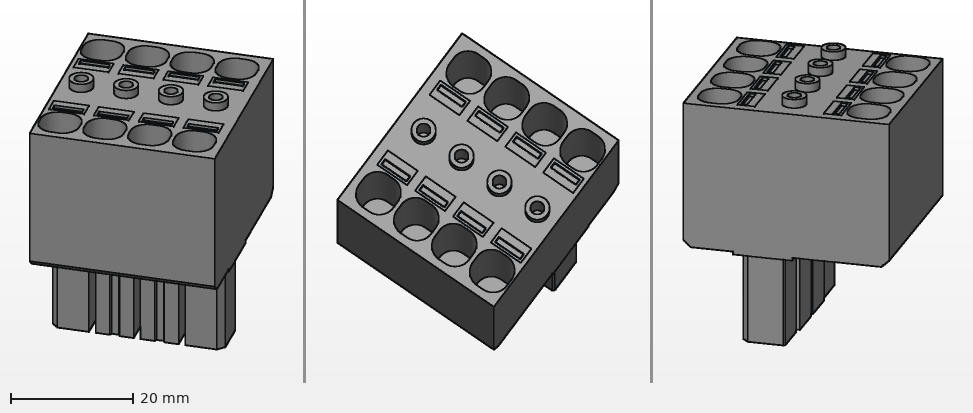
import cadquery as cq

poles = 4
pitch = 7.62
end_margin = 1.0

housing_x = poles * pitch + end_margin
housing_y = 35.05
body_height = 25.08
corner_run = 1.3
corner_rise = 1.2
plinth_height = 0.5
plinth_front = -9.05
plinth_back = 1.05
top_z = plinth_height + body_height
left_x = -housing_x / 2
pole_x = [left_x + (i + 0.5) * pitch for i in range(poles)]
sides = (-1, 1)

entry_size = 6.85
entry_radius = 2.8
entry_depth = 15.0
entry_y = 12.7

button_x = 6.0
button_y = 3.0
button_depth = 6.0
button_center_y = 7.35
slot_x = 5.0
slot_y = 1.05
slot_depth = 0.5
slot_edge_gap = 0.5
slot_center_y = button_center_y + button_y / 2 - slot_edge_gap - slot_y / 2

socket_diameter = 4.0
socket_bore = 2.25
socket_height = 1.5
socket_depth = 5.0

prong_length = 15.5
prong_x = 6.5
prong_row_offset = -0.17
prong_front = -8.02
inner_prong_back = -0.22
outer_prong_back = -0.55
prong_chamfer = 1.15
back_chamfer = 0.3
groove_mouth = 1.65
groove_floor = 1.2
groove_depth = 0.42
prong_centers = [prong_row_offset + (i - (poles - 1) / 2) * pitch for i in range(poles)]


def box(width, depth, height, x, y, bottom):
    """Box centred on (x, y), standing on the given height."""
    return cq.Workplane("XY", origin=(x, y, bottom)).rect(width, depth).extrude(height)


def make_block():
    """Main block with bevelled lower long edges and a shallow plinth."""
    half_y = housing_y / 2
    outline = [
        (-half_y, top_z),
        (-half_y, plinth_height + corner_rise),
        (-half_y + corner_run, plinth_height),
        (plinth_front, plinth_height),
        (plinth_front, 0),
        (plinth_back, 0),
        (plinth_back, plinth_height),
        (half_y - corner_run, plinth_height),
        (half_y, plinth_height + corner_rise),
        (half_y, top_z),
    ]
    return cq.Workplane("YZ", origin=(left_x, 0, 0)).polyline(outline).close().extrude(housing_x)


def make_outer_prong(center_x, outward):
    """End prong, chamfered on the outward side (-1 for -X, +1 for +X)."""
    inner = center_x - outward * prong_x / 2
    outer = center_x + outward * prong_x / 2
    outline = [
        (inner, prong_front),
        (outer - outward * prong_chamfer, prong_front),
        (outer, prong_front + prong_chamfer),
        (outer, outer_prong_back - back_chamfer),
        (outer - outward * back_chamfer, outer_prong_back),
        (inner, outer_prong_back),
    ]
    return cq.Workplane("XY").polyline(outline).close().extrude(-prong_length)


def make_inner_prong(center_x):
    """Middle prong with a flared keying groove down its front face."""
    half_x = prong_x / 2
    groove_y = prong_front + groove_depth
    outline = [
        (-half_x, prong_front),
        (-groove_mouth / 2, prong_front),
        (-groove_floor / 2, groove_y),
        (groove_floor / 2, groove_y),
        (groove_mouth / 2, prong_front),
        (half_x, prong_front),
        (half_x, inner_prong_back),
        (-half_x, inner_prong_back),
    ]
    profile = cq.Workplane("XY", origin=(center_x, 0, 0)).polyline(outline).close()
    return profile.extrude(-prong_length)


def make_housing():
    housing = make_block()
    housing = housing.union(make_outer_prong(prong_centers[0], -1))
    housing = housing.union(make_outer_prong(prong_centers[-1], 1))
    for center_x in prong_centers[1:-1]:
        housing = housing.union(make_inner_prong(center_x))
    for x in pole_x:
        top = cq.Workplane("XY", origin=(x, 0, top_z))
        housing = housing.union(top.circle(socket_diameter / 2).extrude(socket_height))
        bore = top.workplane(offset=socket_height).circle(socket_bore / 2).extrude(-socket_depth)
        housing = housing.cut(bore)
        for side in sides:
            entry = box(entry_size, entry_size, entry_depth, x, side * entry_y, top_z - entry_depth)
            housing = housing.cut(entry.edges("|Z").fillet(entry_radius))
            pocket_y = side * button_center_y
            housing = housing.cut(box(button_x, button_y, button_depth, x, pocket_y, top_z - button_depth))
    return housing


def make_button(x, side):
    """Release button flush with the housing top."""
    button = box(button_x, button_y, button_depth, x, side * button_center_y, top_z - button_depth)
    slot = box(slot_x, slot_y, slot_depth, x, side * slot_center_y, top_z - slot_depth)
    return button.cut(slot)


housing = make_housing()
buttons = [make_button(x, side) for side in sides for x in pole_x]

result = cq.Compound.makeCompound([housing.val(), *[button.val() for button in buttons]])